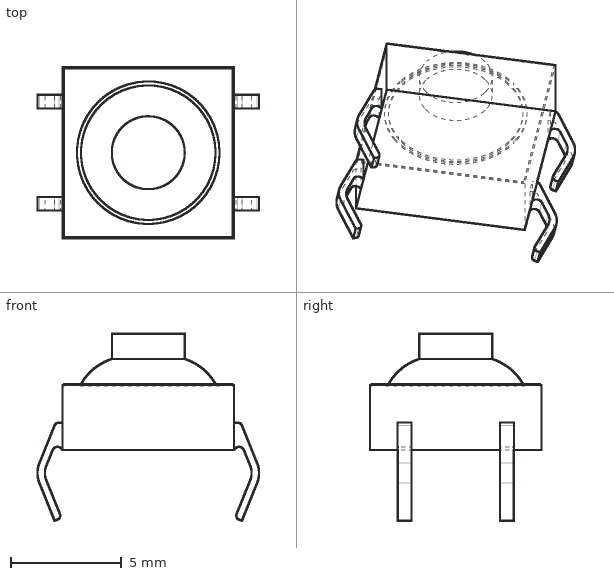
import cadquery as cq
import math

BODY_SIDE = 7.75
TOP_Z = 3.0
COVER_THICKNESS = 0.06
COVER_INSET = 0.06

OPENING_RADIUS = 3.22
OPENING_DEPTH = 0.1

DOME_RADIUS = 3.04
DOME_EDGE_Z = TOP_Z
DOME_MID_RADIUS = 2.42
DOME_MID_Z = TOP_Z + 0.72
DOME_TOP_Z = 4.13
STEM_RADIUS = 1.65
STEM_TOP_Z = 5.27

PIN_SPAN = 10.02
PIN_PITCH = 4.61
PIN_WIDTH = 0.63
PIN_THICKNESS = 0.345
PIN_LEAN = math.radians(22)
PIN_TOP_Z = 1.25
PIN_TIP_Z = -3.19
BEND_Z = -1.03
BEND_OUTER_RADIUS = 1.2
CROTCH_Z = 0.0
SHOULDER_RADIUS = 0.22
TIP_RADIUS = 0.2


def make_housing():
    cover_side = BODY_SIDE - 2 * COVER_INSET
    body_height = TOP_Z - COVER_THICKNESS
    body = cq.Workplane("XY").rect(BODY_SIDE, BODY_SIDE).extrude(body_height)
    cover = (
        cq.Workplane("XY", origin=(0, 0, body_height))
        .rect(cover_side, cover_side)
        .extrude(COVER_THICKNESS)
    )
    opening = (
        cq.Workplane("XY", origin=(0, 0, TOP_Z - OPENING_DEPTH))
        .circle(OPENING_RADIUS)
        .extrude(OPENING_DEPTH)
    )
    return body.union(cover).cut(opening)


def make_button():
    """Revolve the dome and stem, starting at the floor of the cover opening."""
    floor_z = TOP_Z - OPENING_DEPTH
    return (
        cq.Workplane("XZ")
        .moveTo(0, floor_z)
        .lineTo(DOME_RADIUS, floor_z)
        .lineTo(DOME_RADIUS, DOME_EDGE_Z)
        .threePointArc((DOME_MID_RADIUS, DOME_MID_Z), (STEM_RADIUS, DOME_TOP_Z))
        .lineTo(STEM_RADIUS, STEM_TOP_Z)
        .lineTo(0, STEM_TOP_Z)
        .close()
        .revolve(360, (0, 0, 0), (0, 1, 0))
    )


def make_left_pin(y_center):
    """Terminal on the -X face, with concentric bend arcs joining two straight legs."""
    lean_sin = math.sin(PIN_LEAN)
    lean_cos = math.cos(PIN_LEAN)
    lean_tan = math.tan(PIN_LEAN)
    wall_x = -BODY_SIDE / 2
    bend_x = -PIN_SPAN / 2 + BEND_OUTER_RADIUS
    bend_inner_radius = BEND_OUTER_RADIUS - PIN_THICKNESS

    def leg_point(radius, z):
        """Point at height z on a leg line tangent to the bend arc of this radius."""
        return (bend_x - radius / lean_cos + abs(z - BEND_Z) * lean_tan, z)

    def bend_end(radius, side):
        """Tangent point of the bend arc, above (side 1) or below (side -1) its middle."""
        return (bend_x - radius * lean_cos, BEND_Z + side * radius * lean_sin)

    shoulder = leg_point(BEND_OUTER_RADIUS, PIN_TOP_Z)
    outer_tip = leg_point(BEND_OUTER_RADIUS, PIN_TIP_Z)
    inner_tip = (
        outer_tip[0] + PIN_THICKNESS * lean_cos,
        outer_tip[1] + PIN_THICKNESS * lean_sin,
    )
    pin = (
        cq.Workplane("XZ", origin=(0, y_center + PIN_WIDTH / 2, 0))
        .moveTo(wall_x, PIN_TOP_Z)
        .lineTo(*shoulder)
        .lineTo(*bend_end(BEND_OUTER_RADIUS, 1))
        .threePointArc((bend_x - BEND_OUTER_RADIUS, BEND_Z), bend_end(BEND_OUTER_RADIUS, -1))
        .lineTo(*outer_tip)
        .lineTo(*inner_tip)
        .lineTo(*bend_end(bend_inner_radius, -1))
        .threePointArc((bend_x - bend_inner_radius, BEND_Z), bend_end(bend_inner_radius, 1))
        .lineTo(*leg_point(bend_inner_radius, CROTCH_Z))
        .tangentArcPoint((wall_x, CROTCH_Z), relative=False)
        .close()
        .extrude(PIN_WIDTH)
    )

    def round_corner(solid, corner, radius):
        edge = cq.selectors.NearestToPointSelector((corner[0], y_center, corner[1]))
        return solid.edges("|Y").edges(edge).fillet(radius)

    pin = round_corner(pin, shoulder, SHOULDER_RADIUS)
    return round_corner(pin, inner_tip, TIP_RADIUS)


result = make_housing().union(make_button())
for row in (-1, 1):
    left_pin = make_left_pin(row * PIN_PITCH / 2)
    result = result.union(left_pin).union(left_pin.mirror("YZ"))